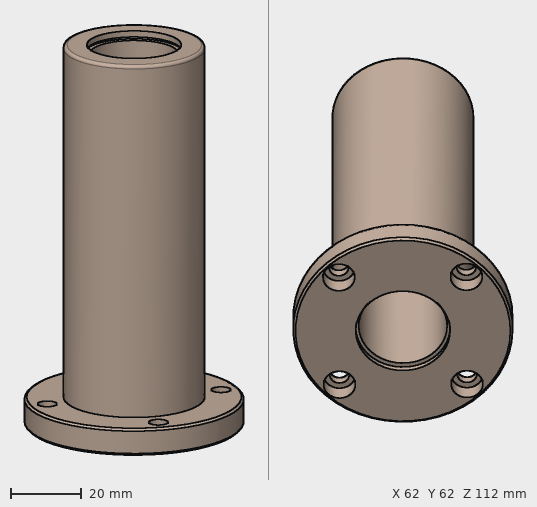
import cadquery as cq

total_height = 112.0
body_diameter = 40.0
body_rim_radius = 1.0
flange_diameter = 62.0
flange_thickness = 8.0
flange_chamfer = 0.7

bore_diameter = 25.0
mouth_diameter = 26.7
groove_diameter = 28.2
seat_depth = 2.6
groove_width = 0.8

screw_hole_count = 4
screw_hole_diameter = 5.5
counterbore_diameter = 9.0
counterbore_depth = 5.2
screw_circle_diameter = 51.0


def cylinder(diameter, bottom, height):
    """Upright cylinder on the Z axis, starting at the given level."""
    return cq.Workplane("XY", origin=(0, 0, bottom)).circle(diameter / 2).extrude(height)


def seat_cutter(mouth_bottom, groove_bottom):
    """Mouth and groove of one seal seat."""
    mouth = cylinder(mouth_diameter, mouth_bottom, seat_depth)
    groove = cylinder(groove_diameter, groove_bottom, groove_width)
    return mouth.union(groove)


def bore_cutter():
    """Through bore joined with the seal seats at both ends."""
    top_floor = total_height - seat_depth
    return (
        cylinder(bore_diameter, 0, total_height)
        .union(seat_cutter(0, seat_depth - groove_width))
        .union(seat_cutter(top_floor, top_floor))
    )


def screw_circle_cutter(diameter, depth):
    """Holes rising from the flange's underside, spaced evenly around it, the first on +X."""
    return (
        cq.Workplane("XY")
        .polarArray(screw_circle_diameter / 2, 0, 360, screw_hole_count)
        .circle(diameter / 2)
        .extrude(depth)
    )


flange = cylinder(flange_diameter, 0, flange_thickness).edges().chamfer(flange_chamfer)
body = cylinder(body_diameter, 0, total_height).edges(">Z").fillet(body_rim_radius)

result = (
    flange.union(body)
    .cut(bore_cutter())
    .cut(screw_circle_cutter(screw_hole_diameter, flange_thickness))
    .cut(screw_circle_cutter(counterbore_diameter, counterbore_depth))
)